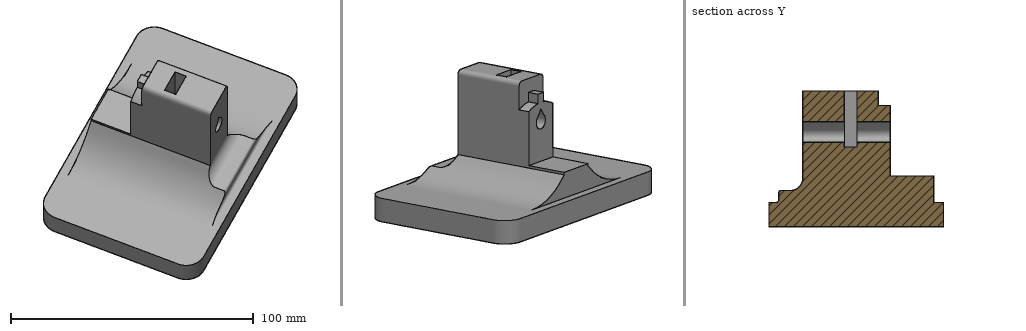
import cadquery as cq
import math

base_x = 72.0
base_y = 105.6
base_height = 10.0
base_corner_radius = 8.0

total_height = 56.0
mound_start_x = -32.0
tower_start_x = -14.0
step_x = -9.1
tower_end_x = 22.1
mound_end_x = 32.0

tower_half_width = 8.5
mound_top_z = 21.0
shoulder_z = 20.0
flank_radius = 30.0
flank_foot_y = 30.9
flank_top_y = 9.8

ledge_arc_radius = 5.0
end_fillet_radius = 1.1

tower_top_fillet = 2.0
saddle_crown_z = 46.1
saddle_edge_z = 44.0
tab_half_width = 2.0
tab_top_z = 50.1
hole_z = 38.0
hole_radius = 3.2
hole_tip_height = 5.2
pocket_center_x = 2.3
pocket_x = 5.1
pocket_y = 10.1


def along_x(start_x):
    """YZ workplane at start_x, extruding toward +X."""
    return cq.Workplane("YZ", origin=(start_x, 0, 0))


def flank_z(y):
    """Height of the concave flank, which meets the base tangentially."""
    run = flank_foot_y - y
    return base_height + flank_radius - math.sqrt(flank_radius**2 - run**2)


def make_base():
    plate = cq.Workplane("XY").rect(base_x, base_y).extrude(base_height)
    return plate.edges("|Z").fillet(base_corner_radius)


def make_mound():
    """Flared cross-section trimmed by the stepped and rounded end profile."""
    middle_y = (flank_top_y + flank_foot_y) / 2
    section = (
        along_x(mound_start_x)
        .moveTo(-flank_foot_y, 0)
        .lineTo(-flank_foot_y, base_height)
        .threePointArc((-middle_y, flank_z(middle_y)), (-flank_top_y, flank_z(flank_top_y)))
        .lineTo(-tower_half_width, shoulder_z)
        .lineTo(-tower_half_width, mound_top_z)
        .lineTo(tower_half_width, mound_top_z)
        .lineTo(tower_half_width, shoulder_z)
        .lineTo(flank_top_y, flank_z(flank_top_y))
        .threePointArc((middle_y, flank_z(middle_y)), (flank_foot_y, base_height))
        .lineTo(flank_foot_y, 0)
        .close()
        .extrude(mound_end_x + end_fillet_radius - mound_start_x)
    )
    ledge_z = shoulder_z - ledge_arc_radius
    side_profile = (
        cq.Workplane("XZ")
        .moveTo(mound_start_x, 0)
        .lineTo(mound_start_x, mound_top_z)
        .lineTo(tower_end_x, mound_top_z)
        .lineTo(tower_end_x, shoulder_z)
        .radiusArc((tower_end_x + ledge_arc_radius, ledge_z), -ledge_arc_radius)
        .lineTo(mound_end_x - end_fillet_radius, ledge_z)
        .radiusArc((mound_end_x, ledge_z - end_fillet_radius), end_fillet_radius)
        .lineTo(mound_end_x, base_height + end_fillet_radius)
        .radiusArc((mound_end_x + end_fillet_radius, base_height), -end_fillet_radius)
        .lineTo(mound_end_x + end_fillet_radius, 0)
        .close()
        .extrude(flank_foot_y, both=True)
    )
    return section.intersect(side_profile)


def make_tower():
    block = (
        along_x(step_x)
        .center(0, total_height / 2)
        .rect(2 * tower_half_width, total_height)
        .extrude(tower_end_x - step_x)
        .edges("|X and >Z")
        .fillet(tower_top_fillet)
    )
    step_length = step_x - tower_start_x
    saddle = (
        along_x(tower_start_x)
        .moveTo(-tower_half_width, 0)
        .lineTo(-tower_half_width, saddle_edge_z)
        .threePointArc((0, saddle_crown_z), (tower_half_width, saddle_edge_z))
        .lineTo(tower_half_width, 0)
        .close()
        .extrude(step_length)
    )
    tab = (
        along_x(tower_start_x)
        .center(0, tab_top_z / 2)
        .rect(2 * tab_half_width, tab_top_z)
        .extrude(step_length)
    )
    return block.union(saddle).union(tab)


def make_teardrop_hole():
    """Circle with two tangent sides meeting at a point above it."""
    tangent_angle = math.acos(hole_radius / hole_tip_height)
    tangent_y = hole_radius * math.sin(tangent_angle)
    tangent_z = hole_z + hole_radius * math.cos(tangent_angle)
    return (
        along_x(tower_start_x)
        .moveTo(0, hole_z + hole_tip_height)
        .lineTo(tangent_y, tangent_z)
        .threePointArc((0, hole_z - hole_radius), (-tangent_y, tangent_z))
        .close()
        .extrude(tower_end_x - tower_start_x)
    )


def make_pocket():
    """Vertical slot crossing the hole, its floor half a slot width below the hole axis."""
    floor_z = hole_z - pocket_y / 2
    return (
        cq.Workplane("XY", origin=(pocket_center_x, 0, floor_z))
        .rect(pocket_x, pocket_y)
        .extrude(total_height - floor_z)
    )


result = make_base().union(make_mound()).union(make_tower())
result = result.cut(make_teardrop_hole()).cut(make_pocket())